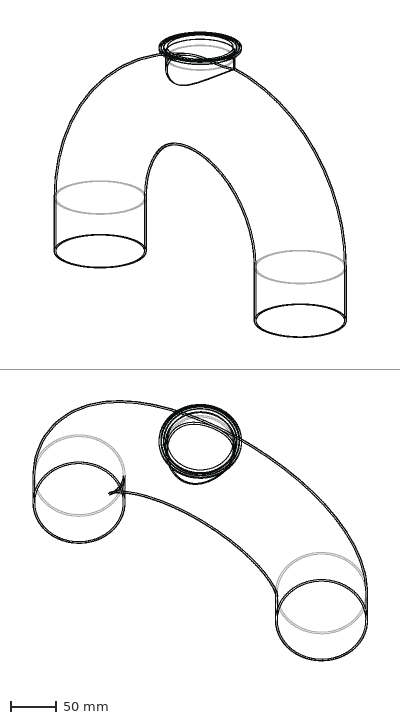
import cadquery as cq

overall_width = 406.5
pipe_diameter = 101.5
pipe_bore = 97.5
leg_length = 63.5
bend_radius = (overall_width - pipe_diameter) / 2

overall_height = 282.5
nozzle_diameter = 76.5
nozzle_bore = 72.7
ferrule_height = 12.5
ferrule_base = overall_height - ferrule_height

flange_diameter = 91.0
rim_thickness = 2.5
flange_thickness = 5.5
flange_root_diameter = 77.2

groove_diameter = 83.5
groove_width = 3.5
groove_flank_depth = 1.0
groove_floor_width = 2.0
groove_depth = 1.5


def bend_torus(diameter):
    """Half-circle bend of solid round section, standing on the leg tops."""
    return (
        cq.Workplane("XY", origin=(-bend_radius, 0, leg_length))
        .circle(diameter / 2)
        .revolve(180, (bend_radius, 0, 0), (bend_radius, 1, 0))
    )


def branch_cylinder(diameter):
    """Vertical cylinder from the bend centreline up to the ferrule."""
    bottom = leg_length + bend_radius
    return (
        cq.Workplane("XY", origin=(0, 0, bottom))
        .circle(diameter / 2)
        .extrude(ferrule_base - bottom)
    )


def legs():
    """Two straight tubes, one under each end of the bend."""
    return (
        cq.Workplane("XY")
        .pushPoints([(-bend_radius, 0), (bend_radius, 0)])
        .circle(pipe_diameter / 2)
        .circle(pipe_bore / 2)
        .extrude(leg_length)
    )


def ferrule():
    """Ring with a tapered clamp flange and a gasket groove in its top face."""
    top = overall_height
    groove_radius = groove_diameter / 2
    return (
        cq.Workplane("XZ")
        .moveTo(nozzle_bore / 2, ferrule_base)
        .lineTo(nozzle_diameter / 2, ferrule_base)
        .lineTo(nozzle_diameter / 2, top - flange_thickness)
        .lineTo(flange_root_diameter / 2, top - flange_thickness)
        .lineTo(flange_diameter / 2, top - rim_thickness)
        .lineTo(flange_diameter / 2, top)
        .lineTo(groove_radius + groove_width / 2, top)
        .lineTo(groove_radius + groove_floor_width / 2, top - groove_flank_depth)
        .threePointArc(
            (groove_radius, top - groove_depth),
            (groove_radius - groove_floor_width / 2, top - groove_flank_depth),
        )
        .lineTo(groove_radius - groove_width / 2, top)
        .lineTo(nozzle_bore / 2, top)
        .close()
        .revolve(360, (0, 0, 0), (0, 1, 0))
    )


outer_body = bend_torus(pipe_diameter).union(branch_cylinder(nozzle_diameter), clean=False)
inner_body = bend_torus(pipe_bore).union(branch_cylinder(nozzle_bore), clean=False)
branched_bend = outer_body.cut(inner_body, clean=False)
result = branched_bend.union(legs(), clean=False).union(ferrule(), clean=False)